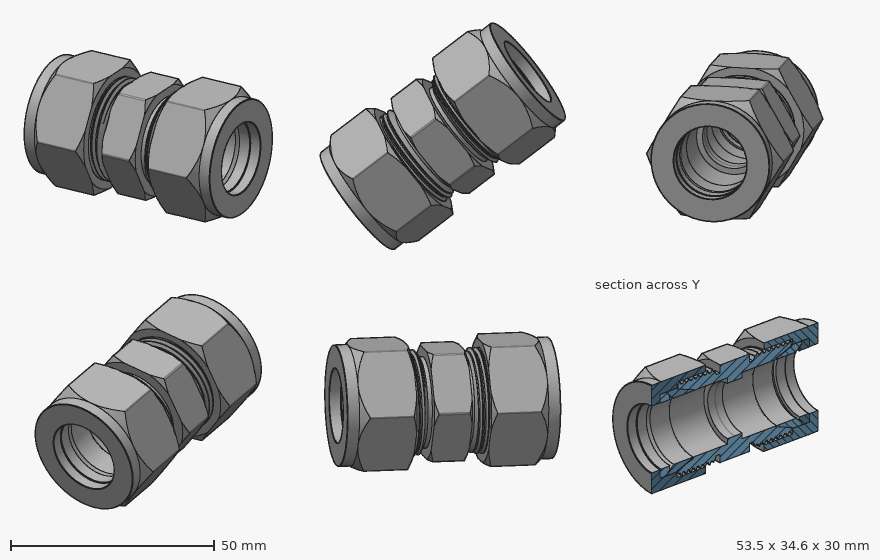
import cadquery as cq
import math


length = 53.5
half_length = length / 2
tube_bore_radius = 9.1
hex_corner_angle = math.pi / 6

nut_across_flats = 30.0
nut_corner_fillet = 0.25
nut_inner_end = 9.3
nut_collar_start = 23.7
nut_collar_radius = nut_across_flats / 2
nut_inner_face_radius = 15.3
nut_mouth_radius = 9.2
nut_mouth_chamfer = 0.15
nut_shoulder = 23.85
ferrule_chamber_radius = 11.5
nut_thread_end = 18.45

body_across_flats = 27.0
body_corner_fillet = 0.5
body_hex_half_width = 4.75
body_hex_face_radius = 14.05
neck_radius = 11.3
thread_start = 5.85
body_end = 18.2
flow_radius = 7.6
tube_stop_half_width = 2.35

thread_radius = 13.1
thread_depth = 0.85
thread_pitch = 1.5
thread_root_width = 0.3
thread_start_angle = 37.0
thread_groove_x = 7.4
thread_flank_angle = 30.0

front_nose_x = 13.4
front_nose_radius = 9.4
front_shoulder = 0.3
front_rear_x = 21.45
front_mouth_radius = 10.7
front_bore_end = 19.6
back_nose_x = 20.75
back_rear_chamfer = 0.2

end_chamfer_angle = 30.0


def turned(profile):
    """Solid of revolution about the X axis from (x, radius) points."""
    return cq.Workplane("XY").polyline(profile).close().revolve(360, (0, 0, 0), (1, 0, 0))


def hexagon(across_flats, start, end, corner_fillet):
    """Hexagonal bar along X with flats facing +Z and -Z and slightly rounded corners."""
    corner_diameter = across_flats / math.cos(hex_corner_angle)
    bar = cq.Workplane("YZ").workplane(offset=start).polygon(6, corner_diameter).extrude(end - start)
    return bar.edges("|X").fillet(corner_fillet)


def chamfer_run(rise):
    """Axial length of an end chamfer with the given radial rise."""
    return rise * math.tan(math.radians(end_chamfer_angle))


def other_end(shape):
    """The same shape turned half a turn about Z."""
    return shape.rotate((0, 0, 0), (0, 0, 1), 180)


body_mouth_radius = ferrule_chamber_radius - front_shoulder
rear_cone_slope = (front_mouth_radius - tube_bore_radius) / (front_rear_x - front_bore_end)
back_nose_radius = tube_bore_radius + rear_cone_slope * (back_nose_x - front_bore_end)


def make_nut():
    corner = nut_across_flats / 2 / math.cos(hex_corner_angle)
    corner_rise = corner - nut_inner_face_radius
    outline = turned([
        (nut_inner_end, 0),
        (nut_inner_end, nut_inner_face_radius),
        (nut_inner_end + chamfer_run(corner_rise), corner),
        (nut_collar_start - (corner - nut_collar_radius), corner),
        (nut_collar_start, nut_collar_radius),
        (nut_collar_start, 0),
    ])
    hex_part = hexagon(nut_across_flats, nut_inner_end, nut_collar_start, nut_corner_fillet)
    collar = turned([
        (nut_thread_end, 0),
        (nut_thread_end, nut_collar_radius),
        (half_length - nut_mouth_chamfer, nut_collar_radius),
        (half_length, nut_collar_radius - nut_mouth_chamfer),
        (half_length, 0),
    ])
    bore = turned([
        (nut_inner_end, 0),
        (nut_inner_end, thread_radius),
        (nut_thread_end, thread_radius),
        (nut_thread_end, ferrule_chamber_radius),
        (nut_shoulder, ferrule_chamber_radius),
        (nut_shoulder, nut_mouth_radius),
        (half_length - nut_mouth_chamfer, nut_mouth_radius),
        (half_length, nut_mouth_radius + nut_mouth_chamfer),
        (half_length, 0),
    ])
    return hex_part.intersect(outline).union(collar).cut(bore)


def make_front_ferrule():
    return turned([
        (front_nose_x, tube_bore_radius),
        (front_nose_x, front_nose_radius),
        (body_end, body_mouth_radius),
        (nut_thread_end, ferrule_chamber_radius),
        (front_rear_x, ferrule_chamber_radius),
        (front_rear_x, front_mouth_radius),
        (front_bore_end, tube_bore_radius),
    ])


def make_back_ferrule():
    return turned([
        (back_nose_x, tube_bore_radius),
        (back_nose_x, back_nose_radius),
        (front_rear_x, front_mouth_radius),
        (front_rear_x, ferrule_chamber_radius),
        (nut_shoulder, ferrule_chamber_radius),
        (nut_shoulder, tube_bore_radius + back_rear_chamfer),
        (nut_shoulder - back_rear_chamfer, tube_bore_radius),
    ])


def make_threaded_bar():
    """Bar longer than the thread at both ends, with a helical V groove that has a flat root."""
    root_radius = thread_radius - thread_depth
    overshoot = 0.25
    half_root = thread_root_width / 2
    half_top = half_root + (thread_depth + overshoot) * math.tan(math.radians(thread_flank_angle))
    turns_before = 2
    turns_after = 1
    groove_start = thread_groove_x - turns_before * thread_pitch
    turns = math.ceil((body_end - groove_start) / thread_pitch) + turns_after
    path = cq.Wire.makeHelix(thread_pitch, turns * thread_pitch, root_radius)
    groove = (
        cq.Workplane("XZ")
        .polyline([
            (root_radius, -half_root),
            (root_radius, half_root),
            (thread_radius + overshoot, half_top),
            (thread_radius + overshoot, -half_top),
        ])
        .close()
        .sweep(cq.Workplane(path), isFrenet=True)
        .rotate((0, 0, 0), (0, 1, 0), 90)
        .rotate((0, 0, 0), (1, 0, 0), thread_start_angle)
        .translate((groove_start, 0, 0))
    )
    bar_length = 2 * groove_start + turns * thread_pitch
    return cq.Workplane("YZ").circle(thread_radius).extrude(bar_length).cut(groove)


def make_body_end():
    """Neck and threaded end on the +X side."""
    neck = cq.Workplane("YZ").circle(neck_radius).extrude(thread_start)
    thread_envelope = turned([
        (thread_start, 0),
        (thread_start, neck_radius),
        (thread_start + chamfer_run(thread_radius - neck_radius), thread_radius),
        (body_end, thread_radius),
        (body_end, 0),
    ])
    return make_threaded_bar().intersect(thread_envelope).union(neck)


def make_body_bore():
    """Tube socket and tapered mouth on the +X side."""
    return turned([
        (tube_stop_half_width, 0),
        (tube_stop_half_width, tube_bore_radius),
        (front_nose_x, tube_bore_radius),
        (front_nose_x, front_nose_radius),
        (body_end, body_mouth_radius),
        (body_end, 0),
    ])


def make_body():
    corner = body_across_flats / 2 / math.cos(hex_corner_angle)
    chamfer_end = body_hex_half_width - chamfer_run(corner - body_hex_face_radius)
    outline = turned([
        (-body_hex_half_width, 0),
        (-body_hex_half_width, body_hex_face_radius),
        (-chamfer_end, corner),
        (chamfer_end, corner),
        (body_hex_half_width, body_hex_face_radius),
        (body_hex_half_width, 0),
    ])
    center_hex = hexagon(
        body_across_flats, -body_hex_half_width, body_hex_half_width, body_corner_fillet
    ).intersect(outline)
    end = make_body_end()
    bore = make_body_bore()
    flow_hole = cq.Workplane("YZ").circle(flow_radius).extrude(tube_stop_half_width, both=True)
    return center_hex.union(end).union(other_end(end)).cut(bore).cut(other_end(bore)).cut(flow_hole)


body = make_body().solids().vals()
nuts = []
front_ferrules = []
back_ferrules = []
for make_part, copies in (
    (make_nut, nuts),
    (make_front_ferrule, front_ferrules),
    (make_back_ferrule, back_ferrules),
):
    part = make_part()
    for placed in (part, other_end(part)):
        copies += placed.solids().vals()

result = cq.Compound.makeCompound([*body, *nuts, *front_ferrules, *back_ferrules])